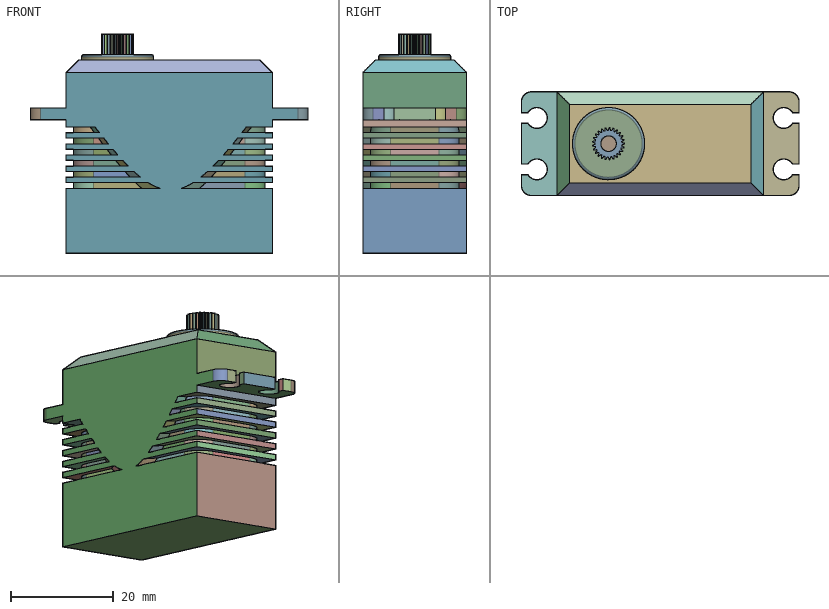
import cadquery as cq
import math

case_length = 40.2
case_width = 20.2
case_height = 37.6
top_bevel = 2.5

overall_length = 54.0
tab_bottom = 25.9
tab_thickness = 2.3
tab_corner_radius = 2.0
screw_hole_diameter = 4.0
screw_hole_spacing_x = 47.95
screw_hole_spacing_y = 10.0
screw_slot_width = 2.0

groove_count = 6
groove_height = 1.1
groove_pitch = 2 * groove_height
groove_depth = 1.45
groove_start = 12.65
core_corner_radius = 3.95

cone_center_x = 0.25
cone_bottom_radius = 10.3
cone_top_radius = 17.8

shaft_x = -10.05
collar_radius = 7.0
collar_height = 1.0
collar_fillet = 0.5
spline_tooth_count = 25
spline_outer_radius = 3.15
spline_root_radius = 2.6
spline_tip_share = 0.15
spline_base_share = 0.75
overall_height = 42.6
shaft_hole_diameter = 3.0


def block(length, width, bottom, height):
    """Box centred on the Z axis with its base at the given level."""
    return cq.Workplane("XY", origin=(0, 0, bottom)).rect(length, width).extrude(height)


def make_case():
    return block(case_length, case_width, 0, case_height).faces(">Z").chamfer(top_bevel)


def make_grooves():
    """Ring-shaped slots, leaving the rounded core and the cone in place."""
    grooved_height = (groove_count - 1) * groove_pitch + groove_height
    slots = cq.Workplane("XY")
    for index in range(groove_count):
        level = groove_start + index * groove_pitch
        slots = slots.union(block(case_length, case_width, level, groove_height))
    core_length = case_length - 2 * groove_depth
    core_width = case_width - 2 * groove_depth
    core = block(core_length, core_width, groove_start, grooved_height)
    core = core.edges("|Z").fillet(core_corner_radius)
    cone_base = cq.Vector(cone_center_x, 0, groove_start)
    cone = cq.Solid.makeCone(cone_bottom_radius, cone_top_radius, grooved_height, pnt=cone_base)
    return slots.cut(core).cut(cq.Workplane(cone))


def make_tabs():
    """Plate through the case whose ends carry screw holes open to the outside."""
    plate = block(overall_length, case_width, tab_bottom, tab_thickness)
    plate = plate.edges("|Z").fillet(tab_corner_radius)
    slot_length = (overall_length - screw_hole_spacing_x) / 2
    slot_center_x = (overall_length - slot_length) / 2
    for side_x in (-1, 1):
        for side_y in (-1, 1):
            hole_y = side_y * screw_hole_spacing_y / 2
            base = cq.Workplane("XY", origin=(0, 0, tab_bottom))
            hole = base.center(side_x * screw_hole_spacing_x / 2, hole_y)
            plate = plate.cut(hole.circle(screw_hole_diameter / 2).extrude(tab_thickness))
            slot = base.center(side_x * slot_center_x, hole_y)
            plate = plate.cut(slot.rect(slot_length, screw_slot_width).extrude(tab_thickness))
    return plate


def make_collar():
    base = cq.Workplane("XY", origin=(shaft_x, 0, case_height))
    collar = base.circle(collar_radius).extrude(collar_height)
    return collar.faces(">Z").edges().fillet(collar_fillet)


def make_shaft():
    """Splined shaft with narrow-tipped teeth and an axial hole as deep as the spline."""
    pitch_angle = 2 * math.pi / spline_tooth_count
    tip_half_angle = spline_tip_share * pitch_angle / 2
    base_half_angle = spline_base_share * pitch_angle / 2
    tooth_corners = [
        (spline_root_radius, -base_half_angle),
        (spline_outer_radius, -tip_half_angle),
        (spline_outer_radius, tip_half_angle),
        (spline_root_radius, base_half_angle),
    ]
    outline = []
    for tooth in range(spline_tooth_count):
        for radius, offset in tooth_corners:
            angle = tooth * pitch_angle + offset
            outline.append((radius * math.cos(angle), radius * math.sin(angle)))
    base = case_height + collar_height
    spline_length = overall_height - base
    shaft = cq.Workplane("XY", origin=(shaft_x, 0, base)).polyline(outline).close()
    shaft = shaft.extrude(spline_length)
    hole = cq.Workplane("XY", origin=(shaft_x, 0, base)).circle(shaft_hole_diameter / 2)
    return shaft.cut(hole.extrude(spline_length))


result = make_case().cut(make_grooves())
result = result.union(make_tabs()).union(make_collar()).union(make_shaft())